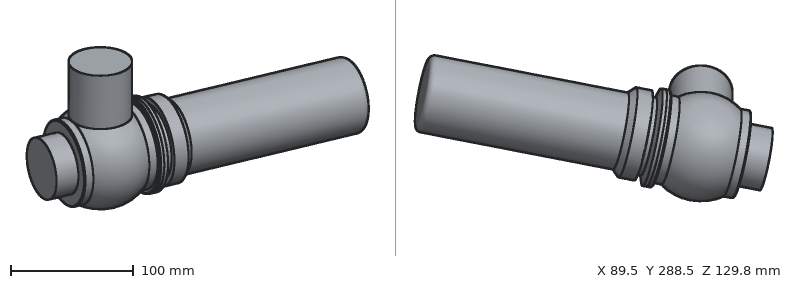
import cadquery as cq
import math

ball_radius = 89.5 / 2
port_radius = 52.0 / 2
collar_radius = 73.0 / 2
flange_radius = 81.0 / 2
neck_radius = 65.0 / 2
shoulder_radius = 75.0 / 2
tube_radius = 64.0 / 2

overall_length = 288.5
inlet_end = -54.2
collar_front = -34.0
collar_chamfer = 1.0
flange_front = 33.5
flange_chamfer = 1.2
joint = 37.5
flange_back = 41.0
flange_cone_end = 43.9
shoulder_front = 48.5
shoulder_back = 61.5
shoulder_cone_end = 67.2
tube_end = inlet_end + overall_length

dome_height = 1.5
corner_radius = 5.2

branch_top = 85.0


def revolve_about_y(profile):
    """Close a half profile, given as (radius, y), and turn it about the Y axis."""
    return profile.close().revolve(360, (0, 0, 0), (0, 1, 0))


def make_housing():
    """Ball valve housing with inlet, branch and front half of the flange."""
    ball_reach = math.sqrt(ball_radius**2 - collar_radius**2)
    main = revolve_about_y(
        cq.Workplane("XY")
        .moveTo(0, inlet_end)
        .lineTo(port_radius, inlet_end)
        .lineTo(port_radius, collar_front)
        .lineTo(collar_radius - collar_chamfer, collar_front)
        .lineTo(collar_radius, collar_front + collar_chamfer)
        .lineTo(collar_radius, -ball_reach)
        .threePointArc((ball_radius, 0), (collar_radius, ball_reach))
        .lineTo(collar_radius, flange_front)
        .lineTo(flange_radius - flange_chamfer, flange_front)
        .lineTo(flange_radius, flange_front + flange_chamfer)
        .lineTo(flange_radius, joint)
        .lineTo(0, joint)
    )
    branch = cq.Workplane("XY").circle(port_radius).extrude(branch_top)
    return main.union(branch)


def make_tube():
    """Closed tube with its shoulder, neck and back half of the flange."""
    rim_y = tube_end - dome_height
    rim_radius = tube_radius - corner_radius
    corner_start = rim_y - corner_radius
    corner_offset = corner_radius * math.sqrt(0.5)
    corner_middle = (rim_radius + corner_offset, corner_start + corner_offset)
    dome_radius = (rim_radius**2 + dome_height**2) / (2 * dome_height)
    dome_middle_radius = rim_radius / 2
    dome_middle_y = tube_end - dome_radius + math.sqrt(dome_radius**2 - dome_middle_radius**2)
    return revolve_about_y(
        cq.Workplane("XY")
        .moveTo(0, joint)
        .lineTo(flange_radius, joint)
        .lineTo(flange_radius, flange_back)
        .lineTo(neck_radius, flange_cone_end)
        .lineTo(neck_radius, shoulder_front)
        .lineTo(shoulder_radius, shoulder_front)
        .lineTo(shoulder_radius, shoulder_back)
        .lineTo(tube_radius, shoulder_cone_end)
        .lineTo(tube_radius, corner_start)
        .threePointArc(corner_middle, (rim_radius, rim_y))
        .threePointArc((dome_middle_radius, dome_middle_y), (0, tube_end))
    )


housing = make_housing()
tube = make_tube()

result = cq.Compound.makeCompound([housing.val(), tube.val()])